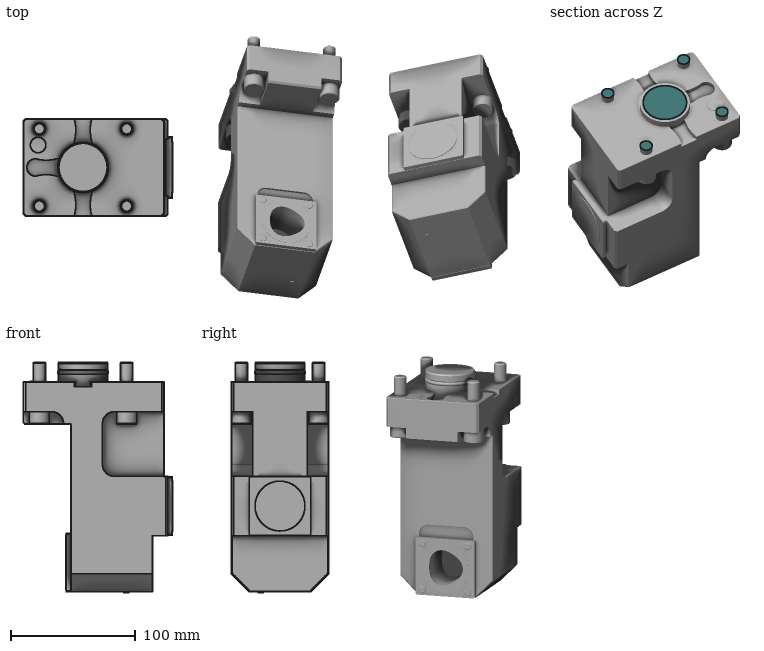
import cadquery as cq
import math


plate_left = -48.0
plate_right = 65.0
width = 78.0
half_width = width / 2
plate_thickness = 24.0
plate_corner = 2.0
plate_top_edge = 0.3

body_bottom = -168.5
column_left = -10.0
column_right = 56.0
column_edge = 0.7
keel_chamfer = 14.5

foot_right = 68.0
foot_top = -76.0
foot_bottom = -123.5
foot_corner = 1.8

shelf_bottom = -34.0
shelf_edge = 1.5
pocket_radius = 10.0
left_pocket_end = -15.5
right_pocket_start = 15.5
pocket_wall = 21.7

plug_diameter = 40.0
plug_top = 15.5
plug_edge_radial = 0.7
plug_edge_height = 1.2
groove_diameter = 35.2
groove_bottom = 5.9
groove_top = 9.7
ring_diameter = 40.6
ring_section = 3.0

slot_depth = 4.0
slot_half_width = 7.0
slot_waist = 5.8
slot_waist_radius = 30.0
slot_waist_reach = 9.0
key_slot_end = 38.0

disc_diameter = 12.4
disc_height = 0.5
disc_position = (-36.0, 18.0)

bolt_spacing_x = 70.0
bolt_spacing_y = 61.9
bolt_diameter = 10.0
bolt_edge = 0.8
head_diameter = 16.0
head_bottom = -34.0
head_edge = 0.5

cover_width = 49.6
cover_height = 47.0
cover_corner = 0.8
recess_width = 45.5
recess_depth = 1.8
recess_radius = 7.5
left_recess_top = -111.0
left_cover_face = -13.5
left_cover_center = -144.8
right_cover_face = 71.5
right_cover_center = -99.7
right_disc_diameter = 40.0
right_disc_height = 0.5
left_disc_diameter = 40.6
left_disc_height = 0.25
screw_spacing = 38.0
screw_diameter = 5.7
screw_height = 0.5
screw_edge = 0.25

bore_radius = 14.2
bore_lobe = 0.9
bore_depth = 30.0
bore_taper = 1.0

stud_diameter = 4.0
stud_height = 0.54
stud_position = (34.5, -15.5)


def box(x0, x1, y0, y1, z0, z1):
    """Axis-aligned block between the given limits."""
    return cq.Workplane("XY").box(x1 - x0, y1 - y0, z1 - z0, centered=False).translate((x0, y0, z0))


def cylinder(x, y, z0, z1, diameter):
    """Upright cylinder between two heights."""
    return cq.Workplane("XY", origin=(x, y, z0)).circle(diameter / 2).extrude(z1 - z0)


def cylinder_along_x(x0, x1, y, z, diameter):
    """Cylinder lying along X."""
    return cq.Workplane("YZ", origin=(x0, y, z)).circle(diameter / 2).extrude(x1 - x0)


def make_plate():
    plate = box(plate_left, plate_right, -half_width, half_width, -plate_thickness, 0)
    plate = plate.edges("|Z").chamfer(plate_corner)
    return plate.faces(">Z").chamfer(plate_top_edge)


def make_column():
    keel_half_width = half_width - keel_chamfer
    keel_top = body_bottom + keel_chamfer
    column = (
        cq.Workplane("YZ", origin=(column_left, 0, 0))
        .moveTo(-half_width, -plate_thickness)
        .lineTo(-half_width, keel_top)
        .lineTo(-keel_half_width, body_bottom)
        .lineTo(keel_half_width, body_bottom)
        .lineTo(half_width, keel_top)
        .lineTo(half_width, -plate_thickness)
        .close()
        .extrude(column_right - column_left)
    )
    return column.faces("<X or >X").chamfer(column_edge)


def make_back_block():
    """Block behind the column that joins the foot to the plate."""
    neck = box(0, plate_right, -half_width, half_width, foot_top, -plate_thickness)
    foot = box(0, foot_right, -half_width, half_width, foot_bottom, foot_top)
    return neck.union(foot.edges("|Z and >X").chamfer(foot_corner))


def make_shelf():
    shelf = box(plate_left, 0, -half_width, half_width, shelf_bottom, -plate_thickness)
    return shelf.edges("<X and <Z").chamfer(shelf_edge)


def cut_bolt_pockets(body):
    """Side pockets that give room for the four bolt heads."""
    left_pocket = (
        cq.Workplane("XZ", origin=(0, -pocket_wall, 0))
        .moveTo(plate_left, shelf_bottom)
        .lineTo(plate_left, -plate_thickness)
        .lineTo(left_pocket_end - pocket_radius, -plate_thickness)
        .radiusArc((left_pocket_end, -plate_thickness - pocket_radius), pocket_radius)
        .close()
        .extrude(half_width - pocket_wall)
    )
    right_pocket = box(
        right_pocket_start, foot_right, -half_width, -pocket_wall, foot_top, -plate_thickness
    )
    right_pocket = right_pocket.edges("|Y and <X").fillet(pocket_radius)
    for pocket in (left_pocket, right_pocket):
        body = body.cut(pocket).cut(pocket.mirror("XZ"))
    return body


def make_slot(end, rounded):
    """Waisted slot running from the plug axis along +X."""
    inner = slot_waist_radius - slot_waist_reach
    outer = min(slot_waist_radius + slot_waist_reach, end)
    slot = (
        cq.Workplane("XY", origin=(0, 0, -slot_depth))
        .moveTo(0, -slot_half_width)
        .lineTo(inner, -slot_half_width)
        .threePointArc((slot_waist_radius, -slot_waist), (outer, -slot_half_width))
    )
    if rounded:
        slot = slot.threePointArc((outer + slot_half_width, 0), (outer, slot_half_width))
    else:
        slot = slot.lineTo(outer, slot_half_width)
    slot = slot.threePointArc((slot_waist_radius, slot_waist), (inner, slot_half_width))
    return slot.lineTo(0, slot_half_width).close().extrude(slot_depth)


def cut_slots(body):
    cross_slot = make_slot(half_width, rounded=False)
    key_slot = make_slot(key_slot_end, rounded=True)
    for slot, angle in ((cross_slot, 90), (key_slot, 180), (cross_slot, 270)):
        body = body.cut(slot.rotate((0, 0, 0), (0, 0, 1), angle))
    return body


def make_plug():
    radius = plug_diameter / 2
    groove_radius = groove_diameter / 2
    plug = (
        cq.Workplane("XZ")
        .moveTo(0, -slot_depth)
        .lineTo(radius, -slot_depth)
        .lineTo(radius, groove_bottom)
        .lineTo(groove_radius, groove_bottom)
        .lineTo(groove_radius, groove_top)
        .lineTo(radius, groove_top)
        .lineTo(radius, plug_top - plug_edge_height)
        .lineTo(radius - plug_edge_radial, plug_top)
        .lineTo(0, plug_top)
        .close()
        .revolve(360, (0, 0, 0), (0, 1, 0))
    )
    ring_radius = (ring_diameter - ring_section) / 2
    ring = (
        cq.Workplane("XZ")
        .moveTo(ring_radius, groove_bottom + ring_section / 2)
        .circle(ring_section / 2)
        .revolve(360, (0, 0, 0), (0, 1, 0))
    )
    return plug.union(ring)


def make_bolt(x, y):
    shank = cylinder(x, y, -plate_thickness, plug_top, bolt_diameter).faces(">Z").chamfer(bolt_edge)
    head = cylinder(x, y, head_bottom, -plate_thickness, head_diameter).faces("<Z").chamfer(head_edge)
    return shank.union(head)


def add_bolts(body):
    for x in (-bolt_spacing_x / 2, bolt_spacing_x / 2):
        for y in (-bolt_spacing_y / 2, bolt_spacing_y / 2):
            body = body.union(make_bolt(x, y))
    return body


def make_cover(x0, x1, center):
    half = cover_width / 2
    cover = box(x0, x1, -half, half, center - cover_height / 2, center + cover_height / 2)
    return cover.edges("|X").chamfer(cover_corner)


def add_right_cover(body):
    floor = foot_right - recess_depth
    half_recess = recess_width / 2
    body = body.cut(box(floor, foot_right, -half_recess, half_recess, right_cover_center, foot_top))
    insert = box(
        floor, foot_right, -half_recess, half_recess,
        right_cover_center, right_cover_center + cover_height / 2
    )
    disc = cylinder_along_x(
        right_cover_face, right_cover_face + right_disc_height, 0, right_cover_center, right_disc_diameter
    )
    cover = make_cover(foot_right, right_cover_face, right_cover_center)
    return body.union(insert).union(cover).union(disc)


def add_left_cover(body):
    floor = column_left + recess_depth
    half_recess = recess_width / 2
    cover_top = left_cover_center + cover_height / 2
    recess = box(column_left, floor, -half_recess, half_recess, left_cover_center, left_recess_top)
    recess = recess.edges("|X and >Z").fillet(recess_radius)
    insert = box(column_left, floor, -half_recess, half_recess, left_cover_center, cover_top)
    disc = cylinder_along_x(
        left_cover_face - left_disc_height, left_cover_face, 0, left_cover_center, left_disc_diameter
    )
    cover = make_cover(left_cover_face, column_left, left_cover_center)
    body = body.cut(recess).union(insert).union(cover).union(disc)
    half_pitch = screw_spacing / 2
    for y in (-half_pitch, half_pitch):
        for z in (left_cover_center - half_pitch, left_cover_center + half_pitch):
            screw = cylinder_along_x(left_cover_face - screw_height, left_cover_face, y, z, screw_diameter)
            body = body.union(screw.faces("<X").chamfer(screw_edge))
    return body


def make_bore():
    """Tapered three-lobed socket, one lobe pointing toward -Y."""

    def outline(mean_radius):
        def point(t):
            angle = 2 * math.pi * t
            radius = mean_radius + bore_lobe * math.cos(3 * angle)
            return (-radius * math.cos(angle), radius * math.sin(angle))

        return point

    mouth = left_cover_face - left_disc_height
    return (
        cq.Workplane("YZ", origin=(mouth, 0, left_cover_center))
        .parametricCurve(outline(bore_radius))
        .workplane(offset=bore_depth)
        .parametricCurve(outline(bore_radius - bore_taper))
        .loft()
    )


body = make_plate().union(make_column()).union(make_back_block()).union(make_shelf())
body = cut_bolt_pockets(body)
body = cut_slots(body)
body = body.union(make_plug())
body = body.union(cylinder(*disc_position, 0, disc_height, disc_diameter))
body = add_bolts(body)
body = add_right_cover(body)
body = add_left_cover(body)
body = body.cut(make_bore())
body = body.union(cylinder(*stud_position, body_bottom - stud_height, body_bottom, stud_diameter))

result = body